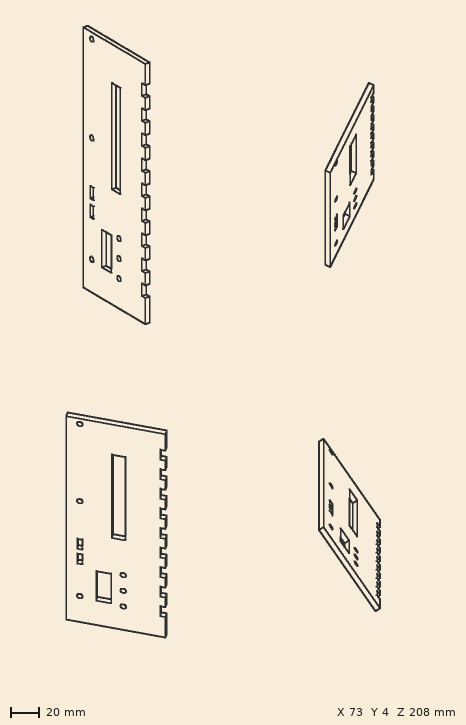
import cadquery as cq

width = 73.0
thickness = 4.0
height = 208.0

notch_count = 9
notch_length = 10.0
notch_pitch = 2 * notch_length
notch_depth = thickness
first_notch_bottom = 21.0

hole_diameter = 4.2
edge_column_x = 10.0
edge_hole_heights = (26.5, 123.5, 202.5)
inner_column_x = 42.0
inner_hole_pitch = 16.0

long_slot_left = 33.5
long_slot_bottom = 92.0
long_slot_width = 10.0
long_slot_length = 85.0

window_left = 22.0
window_width = 11.0
window_height = 30.0
window_center_z = 40.0

tab_slot_left = 8.0
tab_slot_width = thickness
tab_slot_length = 10.0
tab_slot_bottom = 59.5
tab_slot_pitch = 15.0


def block(left, bottom, size_x, size_z):
    """Box through the full panel thickness, placed by its lower left corner."""
    return cq.Workplane("XY").box(size_x, thickness, size_z, centered=False).translate((left, 0, bottom))


def hole_cutter(x, z):
    """Cylinder through the full panel thickness, along Y."""
    return cq.Workplane("XZ").center(x, z).circle(hole_diameter / 2).extrude(-thickness)


def cut_notches(panel):
    for i in range(notch_count):
        bottom = first_notch_bottom + i * notch_pitch
        panel = panel.cut(block(width - notch_depth, bottom, notch_depth, notch_length))
    return panel


def cut_openings(panel):
    panel = panel.cut(block(long_slot_left, long_slot_bottom, long_slot_width, long_slot_length))
    window_bottom = window_center_z - window_height / 2
    panel = panel.cut(block(window_left, window_bottom, window_width, window_height))
    for bottom in (tab_slot_bottom, tab_slot_bottom + tab_slot_pitch):
        panel = panel.cut(block(tab_slot_left, bottom, tab_slot_width, tab_slot_length))
    return panel


def cut_holes(panel):
    for z in edge_hole_heights:
        panel = panel.cut(hole_cutter(edge_column_x, z))
    for step in (-1, 0, 1):
        panel = panel.cut(hole_cutter(inner_column_x, window_center_z + step * inner_hole_pitch))
    return panel


result = cut_holes(cut_openings(cut_notches(block(0, 0, width, height))))